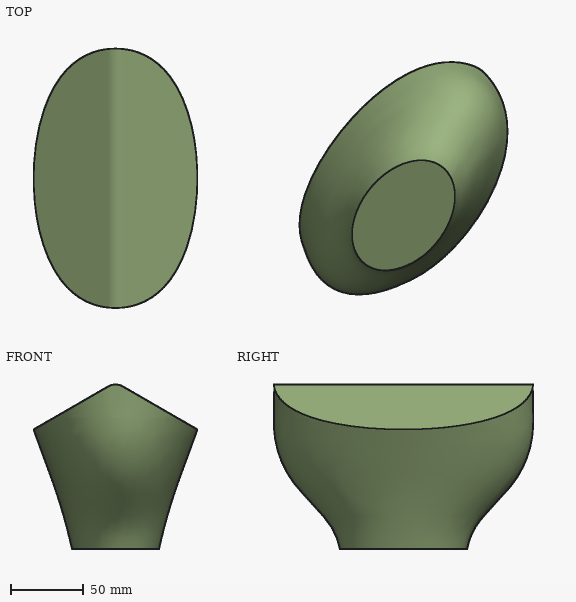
import cadquery as cq
import math

TOTAL_HEIGHT = 114.3
RIM_HEIGHT = 91.44

BASE_HALF_X = 30.2
BASE_HALF_Y = 44.1
RIM_HALF_X = 60.0
RIM_HALF_Y = 90.0

FLANK_LEAN = math.radians(20.2)
FLANK_START = 51.0

BOWL_LEAN = math.radians(42.2)
BOWL_STRAIGHT_START = 22.75
BOWL_RADIUS = 69.0
BOWL_TOP = 87.5

ROOF_SLOPE = math.radians(30)
RIDGE_RADIUS = 10.0

SECTION_COUNT = 25


def concave_arc(z, base_half, end_half, end_z, end_lean):
    """Half-size at z on the arc from (base_half, 0) that leaves (end_half, end_z) at end_lean."""
    toward_center = math.cos(end_lean)
    below_center = math.sin(end_lean)
    drop_half = end_half - base_half
    chord_squared = drop_half**2 + end_z**2
    radius = chord_squared / (2 * (end_z * below_center - drop_half * toward_center))
    center_half = end_half + radius * toward_center
    center_z = end_z - radius * below_center
    return center_half - math.sqrt(radius**2 - (z - center_z) ** 2)


def half_x(z):
    """Half-size along X of the section at height z."""
    if z >= FLANK_START:
        return RIM_HALF_X - (RIM_HEIGHT - z) * math.tan(FLANK_LEAN)
    return concave_arc(z, BASE_HALF_X, half_x(FLANK_START), FLANK_START, FLANK_LEAN)


def half_y(z):
    """Half-size along Y of the section at height z."""
    convex_start = BOWL_TOP - BOWL_RADIUS * math.sin(BOWL_LEAN)
    if z >= BOWL_TOP:
        return RIM_HALF_Y
    if z >= convex_start:
        return RIM_HALF_Y - BOWL_RADIUS + math.sqrt(BOWL_RADIUS**2 - (BOWL_TOP - z) ** 2)
    if z >= BOWL_STRAIGHT_START:
        return half_y(convex_start) - (convex_start - z) * math.tan(BOWL_LEAN)
    return concave_arc(z, BASE_HALF_Y, half_y(BOWL_STRAIGHT_START), BOWL_STRAIGHT_START, BOWL_LEAN)


def section(z):
    """Elliptical wire across the body at height z, its longer axis along Y."""
    return cq.Wire.makeEllipse(
        half_y(z),
        half_x(z),
        center=cq.Vector(0, 0, z),
        normal=cq.Vector(0, 0, 1),
        xDir=cq.Vector(0, 1, 0),
    )


def make_body():
    """Curved bowl up to the rim, continued by straight sides up to the full height."""
    step = RIM_HEIGHT / (SECTION_COUNT - 1)
    bowl = cq.Solid.makeLoft([section(i * step) for i in range(SECTION_COUNT)])
    collar = cq.Solid.makeLoft([section(RIM_HEIGHT), section(TOTAL_HEIGHT)], True)
    return cq.Workplane(bowl).union(cq.Workplane(collar))


def make_gable():
    """Long prism whose sloped top and rounded ridge bound the body from above."""
    ridge_center_z = TOTAL_HEIGHT - RIDGE_RADIUS
    tangent_x = RIDGE_RADIUS * math.sin(ROOF_SLOPE)
    tangent_z = ridge_center_z + RIDGE_RADIUS * math.cos(ROOF_SLOPE)
    eave_x = half_x(TOTAL_HEIGHT)
    eave_z = tangent_z - (eave_x - tangent_x) * math.tan(ROOF_SLOPE)
    return (
        cq.Workplane("XZ")
        .moveTo(-eave_x, 0)
        .lineTo(eave_x, 0)
        .lineTo(eave_x, eave_z)
        .lineTo(tangent_x, tangent_z)
        .threePointArc((0, TOTAL_HEIGHT), (-tangent_x, tangent_z))
        .lineTo(-eave_x, eave_z)
        .close()
        .extrude(RIM_HALF_Y + RIDGE_RADIUS, both=True)
    )


result = make_body().intersect(make_gable()).solids()